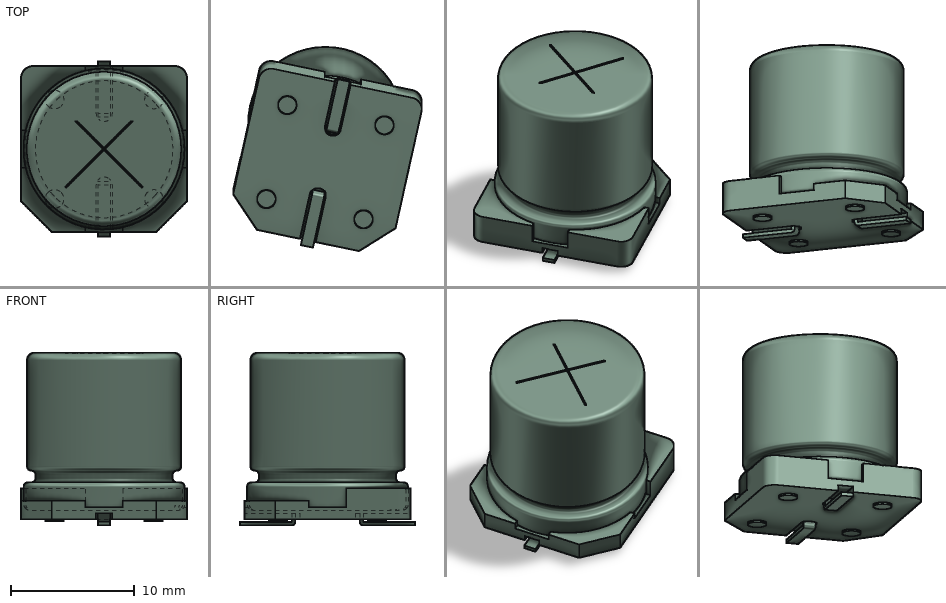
import cadquery as cq
import math

base_width = 13.45
base_bottom = 0.5
base_low_top = 2.0
base_high_top = 3.0
corner_chamfer = 2.5
corner_radius = 1.0
notch_width = 3.0
notch_floor = 1.47

pad_diameter = 1.5
pad_offset = 4.02
pad_bottom = 0.35

lead_width = 1.0
lead_thickness = 0.3
lead_tip = 7.1
lead_bend_face = 2.6
channel_width = 1.3
channel_top = 0.97

can_top = 14.0
can_bottom = 1.25
can_radius = 12.5 / 2
rim_radius = 13.05 / 2
groove_radius = 11.12 / 2
top_fillet = 0.625
bottom_fillet = 0.5
groove_middle = 3.965
shoulder_fillet = 0.37
groove_fillet = can_radius - groove_radius - shoulder_fillet
groove_half_height = 0.465

score_reach = 3.1
score_width = 0.1
score_depth = 0.05
mark_edge = 2.25


def make_can():
    """Revolved can with a rolled-in groove above its rim and a scored top."""
    groove_floor = groove_middle - groove_half_height
    groove_ceiling = groove_middle + groove_half_height
    body = (
        cq.Workplane("XZ")
        .moveTo(0, can_bottom)
        .lineTo(rim_radius - bottom_fillet, can_bottom)
        .radiusArc((rim_radius, can_bottom + bottom_fillet), -bottom_fillet)
        .lineTo(rim_radius, groove_floor - shoulder_fillet)
        .radiusArc((rim_radius - shoulder_fillet, groove_floor), -shoulder_fillet)
        .lineTo(groove_radius + groove_fillet, groove_floor)
        .radiusArc((groove_radius, groove_floor + groove_fillet), groove_fillet)
        .lineTo(groove_radius, groove_ceiling - groove_fillet)
        .radiusArc((groove_radius + groove_fillet, groove_ceiling), groove_fillet)
        .radiusArc((can_radius, groove_ceiling + shoulder_fillet), -shoulder_fillet)
        .lineTo(can_radius, can_top - top_fillet)
        .radiusArc((can_radius - top_fillet, can_top), -top_fillet)
        .lineTo(0, can_top)
        .close()
        .revolve(360, (0, 0), (0, 1))
    )

    score_length = 2 * math.sqrt(2) * score_reach
    mark = (
        cq.Workplane("XY", origin=(0, mark_edge, can_top - score_depth))
        .box(2 * can_radius, can_radius, score_depth, centered=(True, False, False))
    )
    for angle in (-45, 45):
        score = (
            cq.Workplane("XY", origin=(0, 0, can_top - score_depth))
            .transformed(rotate=(0, 0, angle))
            .rect(score_length, score_width)
            .extrude(score_depth)
        )
        score = score.cut(mark)
        body = body.cut(score)
    return body


def make_lead():
    """Lead on the -Y side: a foot, a rounded bend and a leg up into the base."""
    return (
        cq.Workplane("YZ", origin=(-lead_width / 2, 0, 0))
        .moveTo(-lead_tip, 0)
        .lineTo(-lead_bend_face - lead_thickness, 0)
        .radiusArc((-lead_bend_face, lead_thickness), -lead_thickness)
        .lineTo(-lead_bend_face, channel_top)
        .lineTo(-lead_bend_face - lead_thickness, channel_top)
        .lineTo(-lead_bend_face - lead_thickness, lead_thickness)
        .lineTo(-lead_tip, lead_thickness)
        .close()
        .extrude(lead_width)
    )


def make_channel():
    """Channel in the base, open at the -Y side, whose round end wraps around the lead."""
    round_center = -lead_bend_face - lead_thickness
    side = channel_width / 2
    return (
        cq.Workplane("XY", origin=(0, 0, base_bottom))
        .moveTo(-side, -lead_tip)
        .lineTo(-side, round_center)
        .threePointArc((0, round_center + side), (side, round_center))
        .lineTo(side, -lead_tip)
        .close()
        .extrude(channel_top - base_bottom)
    )


def make_base(can):
    """Stepped base that holds the can, with its pads and leads."""
    half = base_width / 2
    body = (
        cq.Workplane("XY", origin=(0, 0, base_bottom))
        .rect(base_width, base_width)
        .extrude(base_high_top - base_bottom)
    )
    body = body.edges("|Z and <Y").chamfer(corner_chamfer)
    body = body.edges("|Z and >Y").fillet(corner_radius)

    front_step = cq.Workplane("XY", origin=(0, -half / 2, base_low_top))
    body = body.cut(front_step.box(base_width, half, base_high_top, centered=(True, True, False)))
    for size in ((base_width, notch_width), (notch_width, base_width)):
        notch = cq.Workplane("XY", origin=(0, 0, notch_floor))
        body = body.cut(notch.box(*size, base_high_top, centered=(True, True, False)))
    body = body.cut(can)

    for turn in (0, 180):
        body = body.cut(make_channel().rotate((0, 0, 0), (0, 0, 1), turn))
        body = body.union(make_lead().rotate((0, 0, 0), (0, 0, 1), turn))
    pads = (
        cq.Workplane("XY", origin=(0, 0, pad_bottom))
        .rect(2 * pad_offset, 2 * pad_offset, forConstruction=True)
        .vertices()
        .circle(pad_diameter / 2)
        .extrude(base_bottom - pad_bottom)
    )
    return body.union(pads)


can = make_can()
base = make_base(can)
result = cq.Compound.makeCompound([can.solids().val(), base.solids().val()])